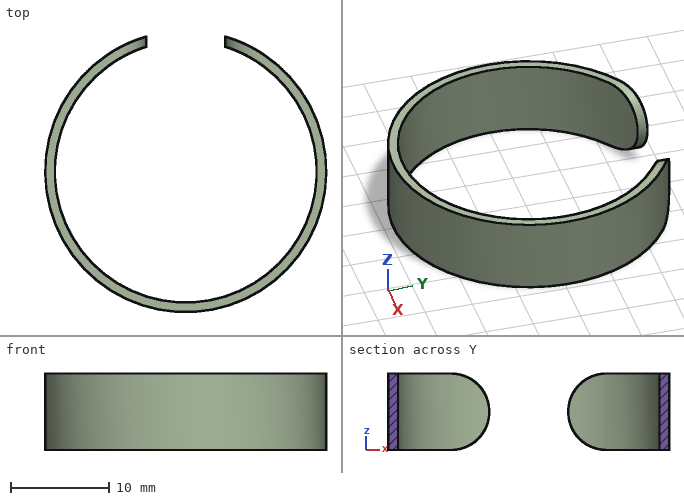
import cadquery as cq

outer_diameter = 28.6
wall_thickness = 1.0
band_width = 7.8
opening_width = 8.0

outer_radius = outer_diameter / 2
inner_radius = outer_radius - wall_thickness
tip_radius = band_width / 2
tip_center_x = opening_width / 2 + tip_radius
mid_height = band_width / 2


def make_band():
    """Closed ring standing on the XY plane."""
    return cq.Workplane("XY").circle(outer_radius).circle(inner_radius).extrude(band_width)


def make_opening():
    """Cutter on the +Y side, bounded by a concave half circle at each end."""
    return (
        cq.Workplane("XZ")
        .moveTo(-tip_center_x, 0)
        .lineTo(tip_center_x, 0)
        .threePointArc((opening_width / 2, mid_height), (tip_center_x, band_width))
        .lineTo(-tip_center_x, band_width)
        .threePointArc((-opening_width / 2, mid_height), (-tip_center_x, 0))
        .close()
        .extrude(-outer_diameter)
    )


result = make_band().cut(make_opening())